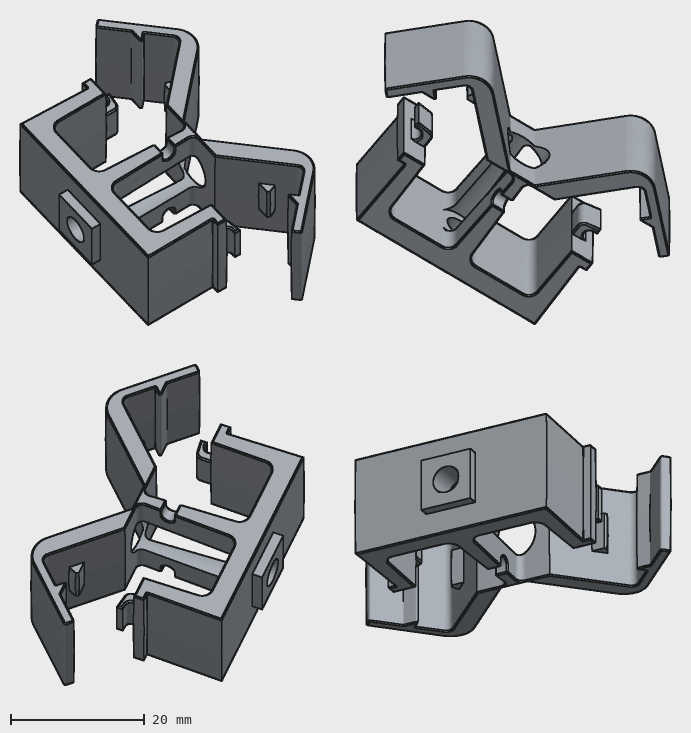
import cadquery as cq
import math

height = 16.0
half_height = height / 2
draft_angle = 0.5
edge_bevel = 0.2

base_half_width = 16.3
base_floor_y = 3.55
wall_outer_x = 16.0
wall_inner_x = 13.3
pocket_half_width = 13.1
wall_top_y = 13.9
ledge_x = 17.25
ledge_bottom_y = 12.15
pocket_radius = 1.5

stem_half_bottom = 1.63
stem_half_top = 1.0
stem_top_radius = 1.0

bridge_front_y = 19.72
bridge_back_y = 20.27
bridge_half_width = 2.2
inner_corner_x = 6.2
arm_back_sum = 47.5
arm_tip_thickness = 1.77
arm_apex_y = 31.2
arm_reach_x = 25.865
apex_inner_radius = 1.0
arm_tip_radius = 0.4

hook_tip_x = 18.15
hook_bottom_y = 24.05
hook_tip_radius = 0.3
stop_bottom_y = 24.4
stop_nose_x = 13.0
stop_side_x = 13.25
stop_side_y = 24.9
stop_top_y = 26.2
stop_half_height = 2.95
stop_draft_angle = 1.0
stop_embed = 0.6

tongue_half_height = 3.0
tongue_inner_x = 13.35
tongue_end_x = 16.6
tongue_end_top_y = 16.85
tongue_shoulder_y = 16.4
tongue_shoulder_radius = 1.1
tongue_bevel = 0.25
tongue_embed = 0.5
recess_x = 15.9
recess_radius = 0.97

notch_y = 14.93
notch_radius = 1.07
notch_depth = 2.15
notch_half_length = 2.0

boss_side = 8.3
boss_thickness = 1.6
boss_embed = 0.5
hole_diameter = 4.3
clearance_diameter = 7.6

ROOT2 = math.sqrt(2)
limb_back = bridge_back_y - bridge_half_width
limb_front = bridge_front_y - inner_corner_x
draft_rise = half_height * math.tan(math.radians(draft_angle))
tip_corner_x = arm_reach_x + arm_tip_radius * (ROOT2 - 1)
arm_front_sum = arm_back_sum - arm_tip_thickness * ROOT2
apex_x = (arm_back_sum - limb_back) / 2
apex_corner_y = (arm_back_sum + limb_back) / 2
apex_outer_radius = (apex_corner_y - arm_apex_y) / (ROOT2 - 1)
inner_apex_x = (arm_front_sum - limb_front) / 2
inner_apex_y = (arm_front_sum + limb_front) / 2
tip_corner_y = arm_back_sum - tip_corner_x
tip_step = arm_tip_thickness / ROOT2
hook_step = (arm_front_sum - hook_tip_x - hook_bottom_y) / 2


def rounded_outline(corners):
    """Closed wire through (x, y, radius) corners, each rounded by a tangent arc."""
    spans = []
    count = len(corners)
    for i, (x, y, radius) in enumerate(corners):
        corner = cq.Vector(x, y)
        before = (cq.Vector(*corners[i - 1][:2]) - corner).normalized()
        after = (cq.Vector(*corners[(i + 1) % count][:2]) - corner).normalized()
        half_angle = before.getAngle(after) / 2
        setback = radius / math.tan(half_angle)
        bisector = (before + after).normalized()
        middle = corner + bisector * (radius / math.sin(half_angle) - radius)
        spans.append((corner + before * setback, middle, corner + after * setback, radius))
    outline = cq.Workplane("XY").moveTo(*spans[0][2].toTuple()[:2])
    for start, middle, end, radius in spans[1:] + spans[:1]:
        outline = outline.lineTo(*start.toTuple()[:2])
        if radius > 0:
            outline = outline.threePointArc(middle.toTuple()[:2], end.toTuple()[:2])
    return outline.close()


def both_sides(solid):
    """The solid together with its mirror image across X = 0."""
    return solid.union(solid.mirror("YZ"))


def make_notch():
    """Round-bottomed notch across the stem, open at the upper end face."""
    center_z = half_height - notch_depth + notch_radius
    flank = cq.Workplane("YZ", origin=(-notch_half_length, notch_y, center_z))
    groove = flank.circle(notch_radius).extrude(2 * notch_half_length)
    mouth = (
        flank.center(0, notch_depth / 2)
        .rect(2 * notch_radius, notch_depth)
        .extrude(2 * notch_half_length)
    )
    return groove.union(mouth)


def make_body():
    """Base, walls, stem and arms: one profile drafted both ways from the mid-plane."""
    right_half = [
        (base_half_width, -draft_rise, 0),
        (wall_outer_x, ledge_bottom_y, 0),
        (ledge_x, ledge_bottom_y, 0),
        (ledge_x, wall_top_y, 0),
        (wall_inner_x, wall_top_y, 0),
        (pocket_half_width, base_floor_y, pocket_radius),
        (stem_half_bottom, base_floor_y, pocket_radius),
        (stem_half_top, bridge_front_y, stem_top_radius),
        (inner_corner_x, bridge_front_y, 0),
        (inner_apex_x, inner_apex_y, apex_inner_radius),
        (hook_tip_x + hook_step, hook_bottom_y + hook_step, 0),
        (hook_tip_x, hook_bottom_y, hook_tip_radius),
        (arm_front_sum - hook_bottom_y, hook_bottom_y, 0),
        (tip_corner_x - tip_step, tip_corner_y - tip_step, arm_tip_radius),
        (tip_corner_x, tip_corner_y, arm_tip_radius),
        (apex_x, apex_corner_y, apex_outer_radius),
        (bridge_half_width, bridge_back_y, 0),
    ]
    left_half = [(-x, y, radius) for x, y, radius in reversed(right_half)]
    profile = right_half + left_half
    upper = rounded_outline(profile).extrude(half_height, taper=draft_angle).cut(make_notch())
    notch_region = cq.selectors.BoxSelector(
        (-notch_half_length, notch_y - 2 * notch_radius, half_height - 2 * notch_depth),
        (notch_half_length, notch_y + 2 * notch_radius, half_height),
    )
    notch_rims = upper.edges(notch_region).edges("not |X")
    upper = upper.faces(">Z").edges().add(notch_rims).chamfer(edge_bevel)
    body = upper.union(upper.mirror("XY"))
    trim = (
        cq.Workplane("XY")
        .box(3 * base_half_width, 2 * draft_rise, height)
        .translate((0, -draft_rise, 0))
    )
    return body.cut(trim)


def make_tongues():
    """Short tongues on the wall tops, each hooking outward around a round recess."""
    root_y = wall_top_y - tongue_embed
    block = (
        rounded_outline([
            (tongue_inner_x, root_y, 0),
            (recess_x, root_y, 0),
            (recess_x, wall_top_y, 0),
            (tongue_end_x, wall_top_y, 0),
            (tongue_end_x, tongue_end_top_y, 0),
            (tongue_inner_x, tongue_shoulder_y, tongue_shoulder_radius),
        ])
        .extrude(tongue_half_height, both=True)
    )
    recess_length = 2 * (tongue_end_x - recess_x)
    recess_y = wall_top_y + recess_radius
    recess = (
        cq.Workplane("XY")
        .center(recess_x, recess_y)
        .circle(recess_radius)
        .extrude(tongue_half_height, both=True)
        .union(
            cq.Workplane("XY")
            .center(recess_x + recess_length / 2, recess_y)
            .rect(recess_length, 2 * recess_radius)
            .extrude(tongue_half_height, both=True)
        )
    )
    tongue = block.cut(recess).faces("|Z").edges().chamfer(tongue_bevel)
    return both_sides(tongue)


def make_stops():
    """Short wedge-shaped snap stops on the inner limbs, facing the hooks."""
    embed = stop_embed / ROOT2
    top_x = stop_top_y - limb_front
    bottom_x = stop_bottom_y - limb_front
    upper = (
        cq.Workplane("XY")
        .polyline([
            (top_x, stop_top_y),
            (stop_side_x, stop_side_y),
            (stop_nose_x, stop_bottom_y),
            (bottom_x, stop_bottom_y),
            (bottom_x - embed, stop_bottom_y + embed),
            (top_x - embed, stop_top_y + embed),
        ])
        .close()
        .extrude(stop_half_height, taper=stop_draft_angle)
    )
    return both_sides(upper.union(upper.mirror("XY")))


def make_boss():
    """Square locating boss on the base's outer face."""
    return (
        cq.Workplane("XZ")
        .rect(boss_side, boss_side)
        .extrude(boss_thickness + boss_embed)
        .translate((0, boss_embed, 0))
    )


def make_screw_hole():
    """Through hole in the boss and base, opening to a clearance bore from the floor backward."""
    hole = (
        cq.Workplane("XZ", origin=(0, -boss_thickness, 0))
        .circle(hole_diameter / 2)
        .extrude(-(boss_thickness + base_floor_y))
    )
    bore = (
        cq.Workplane("XZ", origin=(0, base_floor_y, 0))
        .circle(clearance_diameter / 2)
        .extrude(-(arm_apex_y - base_floor_y))
    )
    return hole.union(bore)


result = (
    make_body()
    .union(make_stops())
    .union(make_tongues())
    .union(make_boss())
    .cut(make_screw_hole())
)